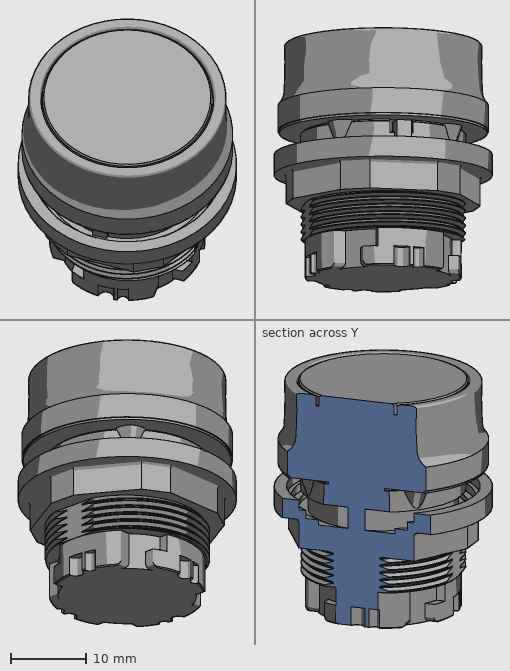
import cadquery as cq
import math

BASE_TOP = 5.04
THREAD_TOP = 9.93
FLANGE_BOTTOM = 13.9
FLANGE_TOP = 16.64
NECK_TOP = 19.33
SKIRT_BOTTOM = 19.57
SKIRT_STEP_TOP = 19.88
FLARE_BOTTOM = 23.23
FLARE_TOP = 25.28
TOTAL_HEIGHT = 31.54

BASE_DIAMETER = 20.75
CORE_DIAMETER = 18.36
BASE_EDGE_CHAMFER = 0.15
LUG_COUNT = 4
LUG_LEFT_EDGE = -4.86
LUG_SHOULDER_EDGE = -2.99
LUG_RIGHT_EDGE = 6.36
LUG_SHOULDER_HEIGHT = 2.58
LUG_CORNER_RADIUS = 0.75
LUG_SIDE_RADIUS = 0.25
LUG_INNER_DEPTH = 5.0
LUG_GROOVES = [(0.2, 1.09), (2.52, 0.76)]

THREAD_ROOT_DIAMETER = 20.92
THREAD_CREST_DIAMETER = 21.9
THREAD_PITCH = 1.0
THREAD_RIDGE_HALF_WIDTH = 0.48
THREAD_CREST_HALF_WIDTH = 0.06
THREAD_EMBED = 0.05
THREAD_FLAT_WIDTH = BASE_DIAMETER

HEXAGON_SIDES = 6
HEXAGON_HALF_STEP = 180 / HEXAGON_SIDES
NUT_FLAT_WIDTH = 24.1
NUT_CORNER_WIDTH = 25.48
NUT_FILLET = 0.5

FLANGE_DIAMETER = 29.0
RECESS_DIAMETER = 25.7
RECESS_LEDGE_DIAMETER = 24.5
RECESS_LEDGE_HEIGHT = 15.3
RECESS_BENCH_HEIGHT = 14.2
RECESS_WELL_DIAMETER = 22.6
RECESS_FLOOR_HEIGHT = 13.5

NECK_DIAMETER = 21.95
NECK_RELIEF_DIAMETER = 21.4
NECK_UNDERSIDE = 16.4
NECK_FOOT_DIAMETER = 20.0

HORN_COUNT = 4
HORN_FIRST_ANGLE = 45
HORN_BOTTOM_RADIUS = 1.2
HORN_TOP_RADIUS = 2.18
HORN_AXIS_RADIUS = NECK_DIAMETER / 2 - HORN_BOTTOM_RADIUS

KEY_WIDTH = 2.0
KEY_REACH = 12.39
KEY_BOTTOM = NECK_UNDERSIDE
KEY_TOP = 19.24
SLOT_BOTTOM = 17.78
SLOT_STEPS = [(3.16, 10.5), (2.4, 10.1)]

SKIRT_DIAMETER = 28.0
SKIRT_STEP_DIAMETER = 27.65
CAP_TOP_DIAMETER = 26.24
CAP_WAIST_DIAMETER = 26.16
CAP_BOTTOM_DIAMETER = 26.36
CAP_EDGE_RADIUS = 0.43

BUTTON_DIAMETER = 22.55
BUTTON_EDGE_CHAMFER = 0.2
GAP_DIAMETER = 22.9
GAP_DEPTH = 1.5
RIM_EDGE_RADIUS = 0.4


def cylinder(diameter, bottom, top):
    return cq.Workplane("XY").workplane(offset=bottom).circle(diameter / 2).extrude(top - bottom)


def make_lug():
    """Bayonet lug facing -Y, with a shoulder cut and two vertical grooves."""
    length = LUG_RIGHT_EDGE - LUG_LEFT_EDGE
    middle = (LUG_RIGHT_EDGE + LUG_LEFT_EDGE) / 2
    block = (
        cq.Workplane("XY")
        .center(middle, -BASE_DIAMETER / 2)
        .rect(length, BASE_DIAMETER - 2 * LUG_INNER_DEPTH)
        .extrude(BASE_TOP)
        .intersect(cylinder(BASE_DIAMETER, 0, BASE_TOP))
    )
    for side in ("<X", ">X"):
        block = block.faces(side).edges("|Z and <Y").fillet(LUG_SIDE_RADIUS)
    front = (
        cq.Workplane("XZ")
        .moveTo(LUG_SHOULDER_EDGE, BASE_TOP)
        .lineTo(LUG_SHOULDER_EDGE, LUG_SHOULDER_HEIGHT)
        .lineTo(LUG_LEFT_EDGE, LUG_SHOULDER_HEIGHT)
        .lineTo(LUG_LEFT_EDGE, 0)
        .lineTo(LUG_RIGHT_EDGE, 0)
        .lineTo(LUG_RIGHT_EDGE, BASE_TOP)
        .close()
        .extrude(BASE_DIAMETER)
    )
    front = front.edges("|Y and <Z").fillet(LUG_CORNER_RADIUS)
    envelope = cylinder(BASE_DIAMETER, 0, BASE_TOP).faces("<Z").chamfer(BASE_EDGE_CHAMFER)
    lug = block.intersect(front).intersect(envelope)
    for offset, radius in LUG_GROOVES:
        surface_y = -math.sqrt((BASE_DIAMETER / 2) ** 2 - offset**2)
        groove = cylinder(2 * radius, 0, LUG_SHOULDER_HEIGHT).translate((offset, surface_y, 0))
        lug = lug.cut(groove)
    return lug


def make_base():
    base = cylinder(CORE_DIAMETER, 0, BASE_TOP)
    lug = make_lug()
    for index in range(LUG_COUNT):
        base = base.union(lug.rotate((0, 0, 0), (0, 0, 1), index * 360 / LUG_COUNT))
    return base


def make_thread():
    """Right-handed single-start thread, trimmed to length and by two flats facing +X and -X."""
    length = THREAD_TOP - BASE_TOP
    root_radius = THREAD_ROOT_DIAMETER / 2
    inner_radius = root_radius - THREAD_EMBED
    start = math.floor(BASE_TOP) - THREAD_PITCH
    turns = math.ceil(THREAD_TOP) - start + THREAD_PITCH
    helix = cq.Wire.makeHelix(THREAD_PITCH, turns * THREAD_PITCH, root_radius).translate(
        cq.Vector(0, 0, start)
    )
    ridge = (
        cq.Workplane("XZ")
        .moveTo(inner_radius, start - THREAD_RIDGE_HALF_WIDTH)
        .lineTo(THREAD_CREST_DIAMETER / 2, start - THREAD_CREST_HALF_WIDTH)
        .lineTo(THREAD_CREST_DIAMETER / 2, start + THREAD_CREST_HALF_WIDTH)
        .lineTo(inner_radius, start + THREAD_RIDGE_HALF_WIDTH)
        .close()
        .sweep(cq.Workplane(helix), isFrenet=True)
    )
    envelope = (
        cq.Workplane("XY")
        .workplane(offset=BASE_TOP)
        .rect(THREAD_FLAT_WIDTH, FLANGE_DIAMETER)
        .extrude(length)
    )
    shank = cylinder(THREAD_ROOT_DIAMETER, BASE_TOP, THREAD_TOP)
    return shank.intersect(envelope).union(ridge.intersect(envelope))


def hexagonal_prism(flat_width, bottom, top):
    """Hexagon with one pair of flats facing +X and -X."""
    corner_diameter = flat_width / math.cos(math.radians(HEXAGON_HALF_STEP))
    return (
        cq.Workplane("XY")
        .workplane(offset=bottom)
        .polygon(HEXAGON_SIDES, corner_diameter)
        .extrude(top - bottom)
        .rotate((0, 0, 0), (0, 0, 1), HEXAGON_HALF_STEP)
    )


def make_nut_and_flange():
    nut = hexagonal_prism(NUT_CORNER_WIDTH, THREAD_TOP, FLANGE_BOTTOM)
    flats = hexagonal_prism(NUT_FLAT_WIDTH, THREAD_TOP, FLANGE_BOTTOM)
    nut = nut.intersect(flats.rotate((0, 0, 0), (0, 0, 1), HEXAGON_HALF_STEP))
    flange = cylinder(FLANGE_DIAMETER, FLANGE_BOTTOM, FLANGE_TOP)
    body = nut.union(flange)
    reach = FLANGE_DIAMETER / 2
    joint = cq.selectors.BoxSelector(
        (-reach, -reach, FLANGE_BOTTOM - NUT_FILLET),
        (reach, reach, FLANGE_BOTTOM + NUT_FILLET),
    )
    body = body.edges(joint).edges("not %CIRCLE").fillet(NUT_FILLET)
    recess = (
        cylinder(RECESS_DIAMETER, RECESS_LEDGE_HEIGHT, FLANGE_TOP)
        .union(cylinder(RECESS_LEDGE_DIAMETER, RECESS_BENCH_HEIGHT, FLANGE_TOP))
        .union(cylinder(RECESS_WELL_DIAMETER, RECESS_FLOOR_HEIGHT, FLANGE_TOP))
    )
    return body.cut(recess)


def make_horn():
    """Upright cone frustum that starts flush with the neck on the +X side and widens upwards."""
    return (
        cq.Workplane("XY")
        .workplane(offset=FLANGE_TOP)
        .center(HORN_AXIS_RADIUS, 0)
        .circle(HORN_BOTTOM_RADIUS)
        .workplane(offset=SKIRT_BOTTOM - FLANGE_TOP)
        .circle(HORN_TOP_RADIUS)
        .loft()
    )


def make_neck():
    neck = (
        cylinder(NECK_FOOT_DIAMETER, RECESS_FLOOR_HEIGHT, NECK_UNDERSIDE)
        .union(cylinder(NECK_DIAMETER, NECK_UNDERSIDE, NECK_TOP))
        .union(cylinder(NECK_RELIEF_DIAMETER, NECK_TOP, SKIRT_BOTTOM))
    )
    horn = make_horn()
    for index in range(HORN_COUNT):
        angle = HORN_FIRST_ANGLE + index * 360 / HORN_COUNT
        neck = neck.union(horn.rotate((0, 0, 0), (0, 0, 1), angle))
    for width, floor_distance in SLOT_STEPS:
        slot_depth = NECK_DIAMETER / 2 - floor_distance
        slot = cq.Workplane("XY").box(
            width, slot_depth, SKIRT_BOTTOM - SLOT_BOTTOM, centered=(True, False, False)
        )
        neck = neck.cut(slot.translate((0, -NECK_DIAMETER / 2, SLOT_BOTTOM)))
    key = cq.Workplane("XY").box(
        KEY_WIDTH, KEY_REACH, KEY_TOP - KEY_BOTTOM, centered=(True, False, False)
    )
    return neck.union(key.translate((0, -KEY_REACH, KEY_BOTTOM)))


def make_cap():
    """Turned cap: stepped skirt, concave flare, slightly waisted wall and rounded rim."""
    skirt_radius = SKIRT_DIAMETER / 2
    step_radius = SKIRT_STEP_DIAMETER / 2
    wall_bottom_radius = CAP_BOTTOM_DIAMETER / 2
    wall_top_radius = CAP_TOP_DIAMETER / 2
    wall_top = TOTAL_HEIGHT - CAP_EDGE_RADIUS
    wall_middle = (FLARE_TOP + wall_top) / 2
    flare_width = skirt_radius - wall_bottom_radius
    flare_height = FLARE_TOP - FLARE_BOTTOM
    flare_radius = (flare_width**2 + flare_height**2) / (2 * flare_width)
    cap = (
        cq.Workplane("XZ")
        .moveTo(0, SKIRT_BOTTOM)
        .lineTo(step_radius, SKIRT_BOTTOM)
        .lineTo(step_radius, SKIRT_STEP_TOP)
        .lineTo(skirt_radius, SKIRT_STEP_TOP)
        .lineTo(skirt_radius, FLARE_BOTTOM)
        .radiusArc((wall_bottom_radius, FLARE_TOP), flare_radius)
        .threePointArc((CAP_WAIST_DIAMETER / 2, wall_middle), (wall_top_radius, wall_top))
        .radiusArc((wall_top_radius - CAP_EDGE_RADIUS, TOTAL_HEIGHT), -CAP_EDGE_RADIUS)
        .lineTo(0, TOTAL_HEIGHT)
        .close()
    )
    return cap.revolve(360, (0, 0, 0), (0, 1, 0))


def cut_button_gap(cap):
    """Ring-shaped gap that frees the push button, with rounded rim and bevelled button edge."""
    gap_bottom = TOTAL_HEIGHT - GAP_DEPTH
    gap_radius = GAP_DIAMETER / 2
    button_radius = BUTTON_DIAMETER / 2
    gap = (
        cq.Workplane("XZ")
        .moveTo(button_radius, gap_bottom)
        .lineTo(gap_radius, gap_bottom)
        .lineTo(gap_radius, TOTAL_HEIGHT - RIM_EDGE_RADIUS)
        .radiusArc((gap_radius + RIM_EDGE_RADIUS, TOTAL_HEIGHT), RIM_EDGE_RADIUS)
        .lineTo(button_radius - BUTTON_EDGE_CHAMFER, TOTAL_HEIGHT)
        .lineTo(button_radius, TOTAL_HEIGHT - BUTTON_EDGE_CHAMFER)
        .close()
        .revolve(360, (0, 0, 0), (0, 1, 0))
    )
    return cap.cut(gap)


body = (
    make_base()
    .union(make_nut_and_flange())
    .union(make_neck())
    .union(cut_button_gap(make_cap()))
)
result = body.union(make_thread())